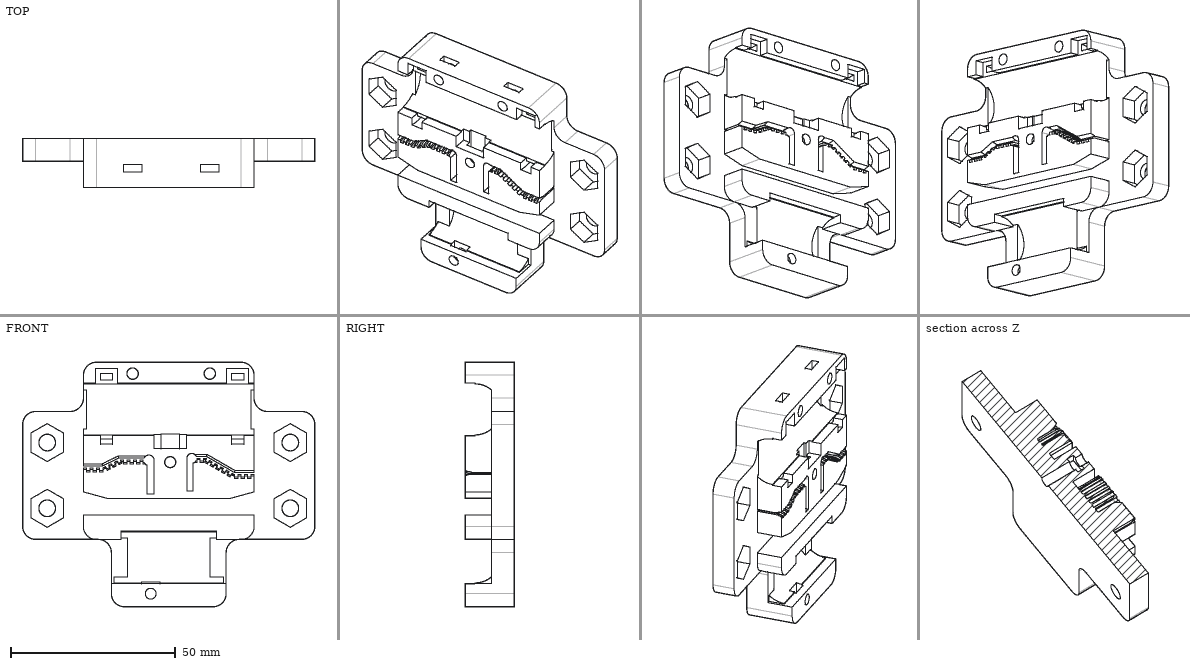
import cadquery as cq
import math

front_depth = 8.0
plate_thickness = 7.0
total_depth = front_depth + plate_thickness
corner_radius = 4.0

wing_half_width = 44.5
wing_bottom = 20.5
wing_top = 59.5
block_half_width = 26.0
top_edge = 74.5
tab_half_width = 17.5

seat_width = 16.0
seat_straight_depth = 3.0
seat_radius = 7.75
upper_seat_z = 60.1
upper_seat_half_length = 25.0
lower_seat_z = 15.05
lower_seat_half_length = 12.5
lower_seat_opening_half_length = 14.5
cradle_half_length = 16.6

middle_block_bottom = 33.0
middle_block_side_bottom = 35.0
middle_block_bottom_half_width = 18.7
lower_block_top = 28.0

bolt_x = 37.0
bolt_z = (30.0, 50.0)
bolt_diameter = 5.0
hex_across_flats = 10.0
hex_depth = 5.0

top_screw_diameter = 3.4
top_screw_x = (-11.0, 12.5)
top_screw_z = 71.0
screw_diameter = 3.3
middle_screw = (0.45, 44.05)
lower_screw = (-5.5, 4.0)
lower_screw_depth = 11.0
nut_width = 5.6
nut_thickness = 2.2
top_nut_slot_depth = 4.8
nut_slot_depth = 2.5
nut_pocket_width = 10.0
nut_pocket_depth = 4.0
nut_pocket_bottom = 48.15

tie_x = (-19.0, 21.0)
tie_width = 3.7
tie_inner_radius = 9.0
tie_outer_radius = 11.0
tie_recess_width = 6.7
tie_recess_top = 72.5

belt_gap = 0.6
lip_flare = 0.62
lip_flare_depth = 1.9
tooth_flare = 0.42
tooth_flare_depth = 1.3
tooth_height = 0.8
tooth_space_width = 1.05
belt_pitch = 1.975
first_tooth_inset = 1.44

left_belt_path = [(-block_half_width, 42.3), (-20.0, 42.3), (-15.1, 44.7), (-6.0, 44.7)]
left_slot = (-6.57, -4.43, 34.4)
left_relief = (-6.03, 44.6, 1.6)
right_belt_path = [(block_half_width, 40.3), (19.8, 40.3), (11.3, 45.2), (7.0, 45.2)]
right_slot = (5.5, 7.38, 35.2)
right_relief = (7.0, 45.2, 1.5)


def box(x_range, y_range, z_range):
    """Axis-aligned block between the given limits."""
    size = [b - a for a, b in (x_range, y_range, z_range)]
    corner = (x_range[0], y_range[0], z_range[0])
    return cq.Workplane("XY").box(*size, centered=False).translate(corner)


def symmetric_box(half_width, y_range, z_range):
    return box((-half_width, half_width), y_range, z_range)


def at_depth(depth):
    """Workplane parallel to the front face; positive extrusion runs towards the front."""
    return cq.Workplane("XZ", origin=(0, depth, 0))


def bore(x, z, diameter, depth=total_depth):
    """Round hole drilled from the front face."""
    return at_depth(0).center(x, z).circle(diameter / 2).extrude(-depth)


def cylinder_along_x(radius, half_length, z):
    start = (-half_length, seat_straight_depth, z)
    return cq.Workplane("YZ", origin=start).circle(radius).extrude(2 * half_length)


def edges_near(half_width, z):
    """Selector for the two outline edges at x = +/- half_width and the given height."""
    margin = corner_radius / 4
    low = (-half_width - margin, 0, z - margin)
    high = (half_width + margin, total_depth, z + margin)
    return cq.selectors.BoxSelector(low, high)


def base_plate():
    """Cross-shaped plate: two wings, a column for the upper seat and a tab for the lower one."""
    depth_range = (front_depth, total_depth)
    wings = symmetric_box(wing_half_width, depth_range, (wing_bottom, wing_top))
    wings = wings.edges("|Y").fillet(corner_radius)
    column = symmetric_box(block_half_width, depth_range, (wing_bottom + corner_radius, top_edge))
    tab = symmetric_box(tab_half_width, depth_range, (0, wing_top))
    plate = wings.union(column.edges("|Y and >Z").fillet(corner_radius))
    plate = plate.union(tab.edges("|Y and <Z").fillet(corner_radius))
    inner_corners = edges_near(block_half_width, wing_top) + edges_near(tab_half_width, wing_bottom)
    return plate.edges("|Y").edges(inner_corners).fillet(corner_radius)


def upper_blocks():
    """Top block and middle block, still joined across the upper seat."""
    outline = [
        (-block_half_width, top_edge),
        (block_half_width, top_edge),
        (block_half_width, middle_block_side_bottom),
        (middle_block_bottom_half_width, middle_block_bottom),
        (-middle_block_bottom_half_width, middle_block_bottom),
        (-block_half_width, middle_block_side_bottom),
    ]
    blocks = at_depth(front_depth).polyline(outline).close().extrude(front_depth)
    return blocks.edges("|Y and >Z").fillet(corner_radius)


def lower_block():
    block = symmetric_box(block_half_width, (0, front_depth), (wing_bottom, lower_block_top))
    return block.edges("|Y and <Z").fillet(corner_radius)


def lower_rail():
    """Front rail of the tab with the curved cradle edge on top of it."""
    rail = symmetric_box(tab_half_width, (0, front_depth), (0, lower_seat_z - seat_width / 2))
    rail = rail.edges("|Y and <Z").fillet(corner_radius)
    cradle = symmetric_box(
        cradle_half_length,
        (seat_straight_depth, front_depth),
        (lower_seat_z - seat_width / 2, lower_seat_z),
    )
    return rail.union(cradle)


def seat(z, front_half_length, plate_half_length):
    """Bearing seat cutter: wide slot in front, cylinder behind, shorter inside the plate."""
    straight = symmetric_box(
        front_half_length,
        (0, seat_straight_depth),
        (z - seat_width / 2, z + seat_width / 2),
    )
    raised = cylinder_along_x(seat_radius, front_half_length, z).intersect(
        symmetric_box(front_half_length, (0, front_depth), (z - seat_width, z + seat_width))
    )
    sunken = cylinder_along_x(seat_radius, plate_half_length, z)
    return straight.union(raised).union(sunken)


def lower_seat():
    """Lower seat: full tab width over the cradle, narrower inside the lower block."""
    opening = seat(lower_seat_z, lower_seat_opening_half_length, lower_seat_half_length)
    cradle = seat(lower_seat_z, tab_half_width, lower_seat_half_length)
    below_block = symmetric_box(tab_half_width, (0, total_depth), (0, wing_bottom))
    return opening.union(cradle.intersect(below_block))


def wing_bolt(x, z):
    corner_distance = hex_across_flats / math.cos(math.pi / 6)
    head = (
        at_depth(front_depth + hex_depth)
        .center(x, z)
        .transformed(rotate=(0, 0, 90))
        .polygon(6, corner_distance)
        .extrude(hex_depth)
    )
    return head.union(bore(x, z, bolt_diameter))


def nut_slot(x, depth, z_range):
    half_width = nut_width / 2
    return box((x - half_width, x + half_width), (depth, depth + nut_thickness), z_range)


def middle_nut_pocket():
    x, z = middle_screw
    half_width = nut_pocket_width / 2
    pocket = box((x - half_width, x + half_width), (0, nut_pocket_depth), (nut_pocket_bottom, upper_seat_z))
    return pocket.union(nut_slot(x, nut_slot_depth, (z - nut_width / 2, upper_seat_z)))


def tie_channel(x):
    """Ring-shaped channel around the upper seat."""
    plane = cq.Workplane("YZ", origin=(x - tie_width / 2, seat_straight_depth, upper_seat_z))
    return plane.circle(tie_outer_radius).circle(tie_inner_radius).extrude(tie_width)


def tie_recess(x):
    """Pocket in the front of the top block that gives access to the cable tie."""
    half_width = tie_recess_width / 2
    return box((x - half_width, x + half_width), (0, seat_straight_depth), (upper_seat_z, tie_recess_top))


def tie_mouth(x):
    """Notch that opens the lower end of the channel through the front of the middle block."""
    half_width = tie_width / 2
    reach = math.sqrt(tie_outer_radius**2 - seat_straight_depth**2)
    z_range = (upper_seat_z - reach, upper_seat_z)
    return box((x - half_width, x + half_width), (0, seat_straight_depth), z_range)


def belt_gap_cutter(path):
    """Smooth part of a belt channel: a narrow gap with both edges flared at the front."""
    section = [
        (0, -tooth_flare),
        (tooth_flare_depth, 0),
        (front_depth, 0),
        (front_depth, belt_gap),
        (lip_flare_depth, belt_gap),
        (0, belt_gap + lip_flare),
    ]
    x, z = path[0]
    spine = cq.Workplane("XZ").polyline(path)
    profile = cq.Workplane("YZ", origin=(x, 0, z)).polyline(section).close()
    return profile.sweep(spine, transition="right")


def point_along(path, distance):
    """Point and unit direction at a distance along a polyline of (x, z) points."""
    for (x0, z0), (x1, z1) in zip(path, path[1:]):
        length = math.hypot(x1 - x0, z1 - z0)
        direction = ((x1 - x0) / length, (z1 - z0) / length)
        if distance <= length:
            break
        distance -= length
    return (x0 + distance * direction[0], z0 + distance * direction[1]), direction


def tooth_space(path, distance):
    """Space for one belt tooth below the path, deeper at the flared front."""
    (x, z), (dx, dz) = point_along(path, distance)
    side = math.copysign(1, dx)
    section = [
        (0, belt_gap / 2),
        (0, -tooth_height - tooth_flare),
        (tooth_flare_depth, -tooth_height),
        (front_depth, -tooth_height),
        (front_depth, belt_gap / 2),
    ]
    plane = cq.Plane(origin=(x, 0, z), xDir=(0, 1, 0), normal=(side * dx, 0, side * dz))
    return cq.Workplane(plane).polyline(section).close().extrude(tooth_space_width / 2, both=True)


def belt_channel(path, slot, relief):
    left, right, bottom = slot
    centre_x, centre_z, radius = relief
    cutter = belt_gap_cutter(path)
    path_length = sum(math.dist(a, b) for a, b in zip(path, path[1:]))
    tooth_count = 1 + int((path_length - first_tooth_inset) / belt_pitch)
    for index in range(tooth_count):
        cutter = cutter.union(tooth_space(path, first_tooth_inset + index * belt_pitch))
    cutter = cutter.union(box((left, right), (0, front_depth), (bottom, centre_z)))
    return cutter.union(bore(centre_x, centre_z, 2 * radius, front_depth))


result = base_plate().union(upper_blocks()).union(lower_block()).union(lower_rail())

result = result.cut(seat(upper_seat_z, block_half_width, upper_seat_half_length))
result = result.cut(lower_seat())

for x in (-bolt_x, bolt_x):
    for z in bolt_z:
        result = result.cut(wing_bolt(x, z))

for x in tie_x:
    result = result.cut(tie_channel(x)).cut(tie_recess(x)).cut(tie_mouth(x))

for x in top_screw_x:
    result = result.cut(bore(x, top_screw_z, top_screw_diameter))
    result = result.cut(nut_slot(x, top_nut_slot_depth, (top_screw_z - nut_width / 2, top_edge)))

result = result.cut(bore(*middle_screw, screw_diameter)).cut(middle_nut_pocket())

lower_x, lower_z = lower_screw
result = result.cut(bore(lower_x, lower_z, screw_diameter, lower_screw_depth))
result = result.cut(nut_slot(lower_x, nut_slot_depth, (lower_z - nut_width / 2, lower_seat_z)))

result = result.cut(belt_channel(left_belt_path, left_slot, left_relief))
result = result.cut(belt_channel(right_belt_path, right_slot, right_relief))